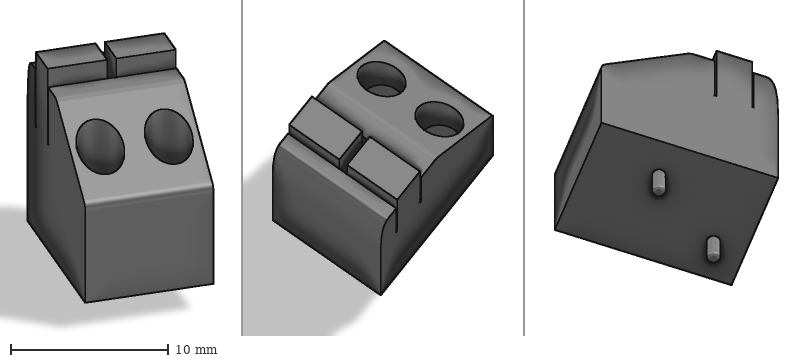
import cadquery as cq

total_height = 14.95
body_length = 12.0
body_width = 8.6

pin_length = 2.0
pin_diameter = 0.87
pin_tip_radius = 0.22
pin_pitch_x = 5.0
pin_pitch_y = 3.48
first_pin_x = 2.21
first_pin_y = -1.61

body_bottom = pin_length
body_top = body_bottom + 11.68
slope_start_x = 5.97
slope_drop = 4.72
slope_end = body_top - slope_drop
slope_top_radius = 0.79
slope_bottom_radius = 0.79

shoulder_start = body_bottom + 7.56
shoulder_length = 0.87
shoulder_side_handle = 3.38
shoulder_top_handle = 0.5

slot_floor = shoulder_start
slot_start_x = 1.66
slot_width = 2.66
lever_start_x = 1.76
lever_thickness = 2.42
lever_gap = 0.61
lever_width = (body_width - lever_gap) / 2

entry_diameter = 3.08
entry_x = 8.93
entry_pitch = 4.59
entry_floor_thickness = 4.48
entry_floor = body_bottom + entry_floor_thickness


def make_housing():
    """Side profile extruded across the width, with the two slope corners rounded."""
    housing = (
        cq.Workplane("XZ", origin=(0, body_width / 2, 0))
        .moveTo(0, body_bottom)
        .lineTo(0, shoulder_start)
        .bezier(
            [
                (0, shoulder_start),
                (0, shoulder_start + shoulder_side_handle),
                (shoulder_length - shoulder_top_handle, body_top),
                (shoulder_length, body_top),
            ]
        )
        .lineTo(slope_start_x, body_top)
        .lineTo(body_length, slope_end)
        .lineTo(body_length, body_bottom)
        .close()
        .extrude(body_width)
    )
    top_corner = cq.selectors.NearestToPointSelector((slope_start_x, 0, body_top))
    bottom_corner = cq.selectors.NearestToPointSelector((body_length, 0, slope_end))
    housing = housing.edges(top_corner).fillet(slope_top_radius)
    return housing.edges(bottom_corner).fillet(slope_bottom_radius)


def make_slot():
    """Cutter for the slot that runs through the full width."""
    return cq.Workplane("XY").box(
        slot_width, body_width, total_height - slot_floor, centered=(False, True, False)
    ).translate((slot_start_x, 0, slot_floor))


def make_lever(side):
    """Push lever standing on the slot floor, flush with one side of the housing."""
    center_y = side * (lever_gap + lever_width) / 2
    return cq.Workplane("XY").box(
        lever_thickness, lever_width, total_height - slot_floor, centered=(False, True, False)
    ).translate((lever_start_x, center_y, slot_floor))


def make_entry(side):
    """Cutter for one flat-bottomed wire entry."""
    return (
        cq.Workplane("XY", origin=(entry_x, side * entry_pitch / 2, entry_floor))
        .circle(entry_diameter / 2)
        .extrude(body_top - entry_floor)
    )


def make_pin(index):
    """Round contact pin with a rounded tip; successive pins are staggered diagonally."""
    pin_x = first_pin_x + index * pin_pitch_x
    pin_y = first_pin_y + index * pin_pitch_y
    return (
        cq.Workplane("XY", origin=(pin_x, pin_y, 0))
        .circle(pin_diameter / 2)
        .extrude(pin_length)
        .faces("<Z")
        .edges()
        .fillet(pin_tip_radius)
    )


result = make_housing().cut(make_slot())

for side in (-1, 1):
    result = result.cut(make_entry(side))
    result = result.union(make_lever(side))

for index in (0, 1):
    result = result.union(make_pin(index))